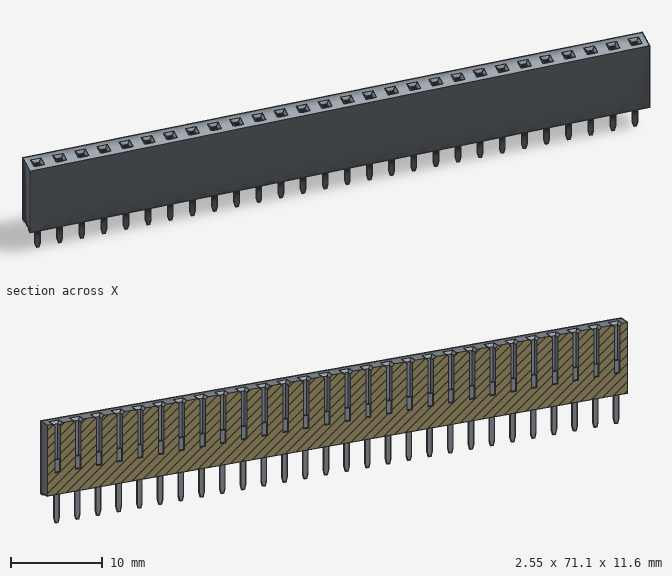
import cadquery as cq

CONTACT_COUNT = 28
BODY_LENGTH = 71.1
BODY_WIDTH = 2.55
TOTAL_HEIGHT = 11.6
BODY_HEIGHT = 8.45
PITCH = BODY_LENGTH / CONTACT_COUNT

GROOVE_WIDTH = 1.6
GROOVE_DEPTH = 0.2

FUNNEL_SIZE = 1.2
SOCKET_SIZE = 0.605
FUNNEL_DEPTH = (FUNNEL_SIZE - SOCKET_SIZE) / 2
SOCKET_DEPTH = 5.7

PIN_WIDTH = SOCKET_SIZE
PIN_THICKNESS = 0.2
TIP_WIDTH = PIN_WIDTH / 2
TIP_LENGTH = 0.6
BLADE_HEIGHT = 1.4

PIN_BOTTOM = BODY_HEIGHT - TOTAL_HEIGHT
PIN_TOP = BODY_HEIGHT - SOCKET_DEPTH + BLADE_HEIGHT
contact_places = [(0, (i - (CONTACT_COUNT - 1) / 2) * PITCH) for i in range(CONTACT_COUNT)]


def make_body():
    """Long rectangular housing with the underside groove."""
    body = cq.Workplane("XY").box(BODY_WIDTH, BODY_LENGTH, BODY_HEIGHT, centered=(True, True, False))
    groove = cq.Workplane("XY").box(GROOVE_WIDTH, BODY_LENGTH, GROOVE_DEPTH, centered=(True, True, False))
    return body.cut(groove)


def make_opening():
    """Solid that removes one contact opening, centred on the Z axis."""
    funnel = (
        cq.Workplane("XY", origin=(0, 0, BODY_HEIGHT))
        .rect(FUNNEL_SIZE, FUNNEL_SIZE)
        .workplane(offset=-FUNNEL_DEPTH)
        .rect(SOCKET_SIZE, SOCKET_SIZE)
        .loft(ruled=True)
    )
    socket = (
        cq.Workplane("XY", origin=(0, 0, BODY_HEIGHT - SOCKET_DEPTH))
        .rect(SOCKET_SIZE, SOCKET_SIZE)
        .extrude(SOCKET_DEPTH - FUNNEL_DEPTH)
    )
    return funnel.union(socket)


def make_pin():
    """One flat pin from its tapered tip up into the socket, centred on the Z axis."""
    half_width = PIN_WIDTH / 2
    half_tip = TIP_WIDTH / 2
    shoulder = PIN_BOTTOM + TIP_LENGTH
    outline = [
        (-half_width, PIN_TOP),
        (-half_width, shoulder),
        (-half_tip, PIN_BOTTOM),
        (half_tip, PIN_BOTTOM),
        (half_width, shoulder),
        (half_width, PIN_TOP),
    ]
    return cq.Workplane("YZ").polyline(outline).close().extrude(PIN_THICKNESS / 2, both=True)


def at_contacts(shape):
    """Copies of a shape at every contact place along the row."""
    solid = shape.val()
    return cq.Workplane("XY").pushPoints(contact_places).eachpoint(lambda place: solid.moved(place))


result = make_body().cut(at_contacts(make_opening())).union(at_contacts(make_pin()))